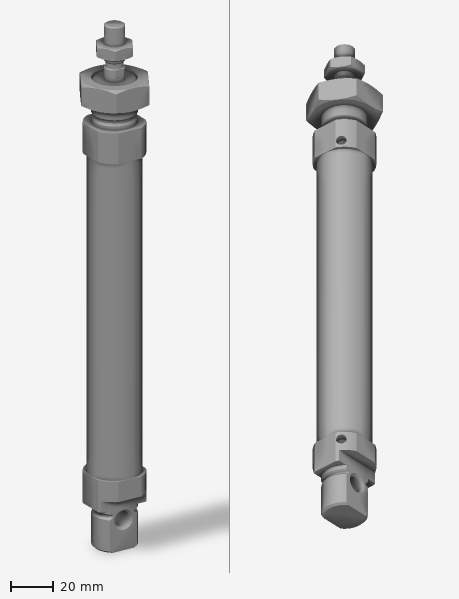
import cadquery as cq
import math

overall_length = 266.5
rod_thread_length = 22.0
shoulder_to_cap = 28.0
front_cap_height = 15.7
rear_cap_bottom_z = 22.0
rear_cap_height = 16.3
side_step_z = 28.0

shoulder_z = overall_length - rod_thread_length
cap_face_z = shoulder_z - shoulder_to_cap
front_cap_bottom_z = cap_face_z - front_cap_height
rear_cap_top_z = rear_cap_bottom_z + rear_cap_height

tube_diameter = 26.5
cap_diameter = 30.0
cap_flat_width = 27.0

neck_diameter = 22.0
groove_diameter = 19.7
front_neck_length = 22.0
front_groove_top = 5.2
front_groove_bottom = 2.0
groove_chamfer = (neck_diameter - groove_diameter) / 2
neck_top_chamfer = 1.0

eye_thickness = 16.0
eye_hole_diameter = 8.0
eye_hole_rim_diameter = 10.4
eye_hole_z = 15.5
eye_bottom_chamfer = 1.0
rear_groove_top_z = 20.0
rear_groove_bottom_z = 16.9

port_diameter = 5.0
port_depth = 4.0
port_angle = 126.0
front_port_z = 204.5
rear_port_z = 34.2

rod_diameter = 10.0
rod_relief_diameter = 8.57
thread_end_chamfer = (rod_diameter - rod_relief_diameter) / 2
rod_tip_chamfer = 0.5
rod_tip_inset = 0.8
relief_top_z = overall_length - 18.3
relief_bottom_z = shoulder_z + 0.4
rod_flat_width = 9.0
rod_flat_bottom_z = overall_length - 26.6
rod_bottom_z = rear_cap_top_z

mounting_nut_width = 32.0
mounting_nut_height = 12.0
mounting_nut_top_z = overall_length - 27.3
lock_nut_width = 17.0
lock_nut_height = 6.0
lock_nut_top_z = overall_length - 9.7
nut_chamfer_angle = 25.0
mounting_nut_face_ratio = 0.99
lock_nut_face_ratio = 0.97


def cylinder(diameter, bottom_z, top_z):
    return cq.Workplane("XY").workplane(offset=bottom_z).circle(diameter / 2).extrude(top_z - bottom_z)


def block(width_x, width_y, bottom_z, top_z):
    height = top_z - bottom_z
    return cq.Workplane("XY").workplane(offset=bottom_z).rect(width_x, width_y).extrude(height)


def revolved(profile):
    """Solid of revolution about Z from a list of (radius, height) points."""
    return cq.Workplane("XZ").polyline(profile).close().revolve(360, (0, 0), (0, 1))


def neck_groove(bottom_z, top_z):
    """Ring cut into a neck, with sloping sides."""
    outer = neck_diameter / 2
    inner = groove_diameter / 2
    return revolved([
        (outer, bottom_z),
        (inner, bottom_z + groove_chamfer),
        (inner, top_z - groove_chamfer),
        (outer, top_z),
    ])


def end_cap(bottom_z, top_z):
    """Round cap with four flats."""
    flats = block(cap_flat_width, cap_flat_width, bottom_z, top_z)
    return cylinder(cap_diameter, bottom_z, top_z).intersect(flats)


def front_neck():
    top_z = cap_face_z + front_neck_length
    neck = cylinder(neck_diameter, cap_face_z, top_z).faces(">Z").chamfer(neck_top_chamfer)
    return neck.cut(neck_groove(cap_face_z + front_groove_bottom, cap_face_z + front_groove_top))


def eye_hole():
    """Cross hole along X, countersunk at both faces of the eye."""
    half = eye_thickness / 2
    hole_radius = eye_hole_diameter / 2
    rim_radius = eye_hole_rim_diameter / 2
    sink = rim_radius - hole_radius
    profile = [
        (-half, 0),
        (-half, rim_radius),
        (sink - half, hole_radius),
        (half - sink, hole_radius),
        (half, rim_radius),
        (half, 0),
    ]
    hole = cq.Workplane("XY").polyline(profile).close().revolve(360, (0, 0), (1, 0))
    return hole.translate((0, 0, eye_hole_z))


def rear_end():
    """Rear cap and round neck, both cut back on two sides to form the eye."""
    neck = cylinder(neck_diameter, 0, rear_cap_bottom_z).faces("<Z").chamfer(eye_bottom_chamfer)
    neck = neck.cut(neck_groove(rear_groove_bottom_z, rear_groove_top_z))
    end = end_cap(rear_cap_bottom_z, rear_cap_top_z).union(neck)
    slab = block(eye_thickness, cap_diameter, 0, side_step_z)
    upper_cap = block(cap_diameter, cap_diameter, side_step_z, rear_cap_top_z)
    return end.intersect(slab.union(upper_cap)).cut(eye_hole())


def air_port(height):
    """Blind radial hole in a cap."""
    direction = cq.Vector(math.cos(math.radians(port_angle)), math.sin(math.radians(port_angle)), 0)
    start = direction * (cap_diameter / 2 - port_depth) + cq.Vector(0, 0, height)
    return cq.Workplane(cq.Plane(start, normal=direction)).circle(port_diameter / 2).extrude(2 * port_depth)


def piston_rod():
    radius = rod_diameter / 2
    relief_radius = rod_relief_diameter / 2
    rod = revolved([
        (0, rod_bottom_z),
        (radius, rod_bottom_z),
        (radius, shoulder_z),
        (relief_radius, relief_bottom_z),
        (relief_radius, relief_top_z - thread_end_chamfer),
        (radius, relief_top_z),
        (radius, overall_length - rod_tip_chamfer),
        (radius - rod_tip_inset, overall_length),
        (0, overall_length),
    ])
    flat_depth = (rod_diameter - rod_flat_width) / 2
    for side in (-1, 1):
        flat = block(flat_depth, rod_diameter, rod_flat_bottom_z, relief_bottom_z)
        rod = rod.cut(flat.translate((side * (rod_flat_width + flat_depth) / 2, 0, 0)))
    return rod


def hex_nut(width, height, top_z, face_ratio):
    """Hexagon with flats facing +X and -X, its corners chamfered above and below."""
    corner_diameter = width / math.cos(math.pi / 6)
    corner_radius = corner_diameter / 2
    face_radius = face_ratio * width / 2
    drop = (corner_radius - face_radius) * math.tan(math.radians(nut_chamfer_angle))
    bottom_z = top_z - height
    hexagon = cq.Workplane("XY").workplane(offset=bottom_z).polygon(6, corner_diameter).extrude(height)
    hexagon = hexagon.rotate((0, 0, 0), (0, 0, 1), 30)
    envelope = revolved([
        (0, bottom_z),
        (face_radius, bottom_z),
        (corner_radius, bottom_z + drop),
        (corner_radius, top_z - drop),
        (face_radius, top_z),
        (0, top_z),
    ])
    return hexagon.intersect(envelope)


housing = cylinder(tube_diameter, rear_cap_top_z, front_cap_bottom_z)
housing = housing.union(rear_end())
housing = housing.union(end_cap(front_cap_bottom_z, cap_face_z))
housing = housing.union(front_neck())
housing = housing.cut(cylinder(rod_diameter, rod_bottom_z, shoulder_z))
for port_z in (front_port_z, rear_port_z):
    housing = housing.cut(air_port(port_z))

rod = piston_rod()

mounting_nut = hex_nut(
    mounting_nut_width, mounting_nut_height, mounting_nut_top_z, mounting_nut_face_ratio
)
mounting_nut = mounting_nut.cut(cylinder(neck_diameter, cap_face_z, shoulder_z))
lock_nut = hex_nut(lock_nut_width, lock_nut_height, lock_nut_top_z, lock_nut_face_ratio)
lock_nut = lock_nut.cut(cylinder(rod_diameter, shoulder_z, overall_length))

result = cq.Compound.makeCompound([housing.val(), rod.val(), mounting_nut.val(), lock_nut.val()])